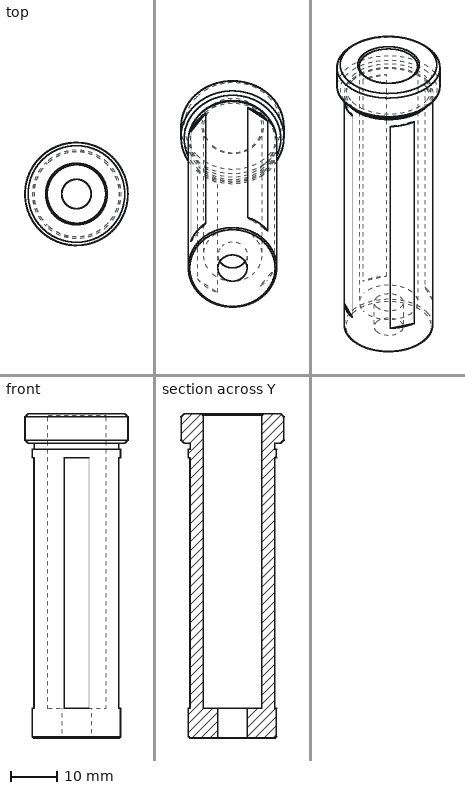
import cadquery as cq

total_length = 69.85
head_diameter = 22.2
body_diameter = 19.1

head_height = 6.35
head_chamfer = 0.7
neck_diameter = 18.3
neck_height = 1.25

foot_chamfer = 0.35

flat_offset = 9.15
flat_bottom = 6.5
flat_top = 60.35

bore_diameter = 12.6
bore_chamfer = 0.35
floor_thickness = 6.5
through_hole_diameter = 6.3

head_bottom = total_length - head_height
body_top = head_bottom - neck_height


def cylinder(diameter, bottom, top):
    """Solid cylinder on the Z axis between two heights."""
    return cq.Workplane("XY").workplane(offset=bottom).circle(diameter / 2).extrude(top - bottom)


def make_outside():
    body = cylinder(body_diameter, 0, body_top).faces("<Z").chamfer(foot_chamfer)
    neck = cylinder(neck_diameter, body_top, head_bottom)
    head = cylinder(head_diameter, head_bottom, total_length).edges().chamfer(head_chamfer)
    return body.union(neck).union(head)


def cut_flats(part):
    flat_length = flat_top - flat_bottom
    cutter = cq.Workplane("XY").box(
        body_diameter, body_diameter, flat_length, centered=(False, True, False)
    ).translate((flat_offset, 0, flat_bottom))
    for angle in (0, 90, 180, 270):
        part = part.cut(cutter.rotate((0, 0, 0), (0, 0, 1), angle))
    return part


def cut_bore(part):
    bore = cylinder(bore_diameter, floor_thickness, total_length)
    through_hole = cylinder(through_hole_diameter, 0, total_length)
    part = part.cut(bore).cut(through_hole)
    bore_rim = cq.selectors.RadiusNthSelector(0)
    return part.faces(">Z").edges(bore_rim).chamfer(bore_chamfer)


result = cut_bore(cut_flats(make_outside()))